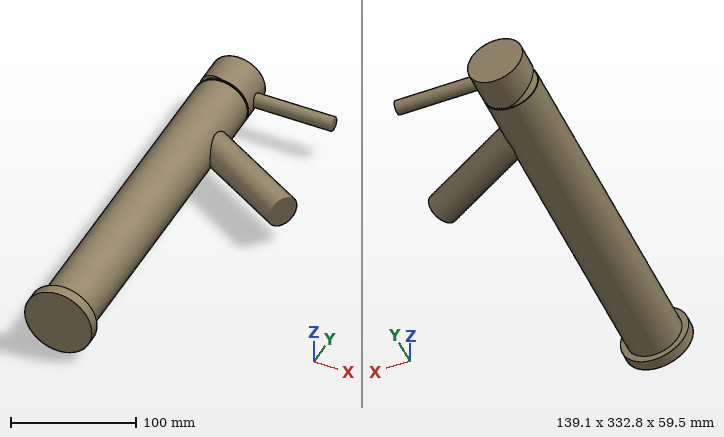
import cadquery as cq
import math

total_length = 332.8
flange_diameter = 59.5
flange_thickness = 9.5
body_radius = 24.0
body_top = 300.5

head_gap = 1.3
head_relief_rise = 9.0
neck_base_radius = 23.3
neck_top_radius = 20.0
neck_length = 12.0

lever_diameter = 12.3
lever_drop = 16.3
lever_reach = 92.5
lever_rounding = 1.0

spout_radius = 14.0
spout_angle = 30.0
spout_tip_x = 102.5
spout_tip_y = 201.5
spout_rounding = 0.5


def column_cylinder(radius, start, end):
    """Cylinder about the Y axis between two Y positions."""
    return cq.Workplane("XZ", origin=(0, start, 0)).circle(radius).extrude(start - end)


def rod_from_axis(radius, start, direction, length, rounding):
    """Round rod starting on the column axis, with its free end rounded."""
    plane = cq.Plane(origin=start, xDir=(0, 0, 1), normal=direction)
    rod = cq.Workplane(plane).circle(radius).extrude(length)
    return rod.faces(cq.selectors.DirectionMinMaxSelector(cq.Vector(direction), True)).fillet(rounding)


def make_head():
    """Cap whose lower face slopes upward on the side away from the lever."""
    bottom = body_top + head_gap
    profile = [
        (-body_radius, bottom + head_relief_rise),
        (0, bottom),
        (body_radius, bottom),
        (body_radius, total_length),
        (-body_radius, total_length),
    ]
    prism = cq.Workplane("XY").polyline(profile).close().extrude(body_radius, both=True)
    return column_cylinder(body_radius, bottom, total_length).intersect(prism)


def make_neck():
    """Tapered core joining the body to the head."""
    neck_end = body_top + neck_length
    profile = [
        (0, body_top),
        (neck_base_radius, body_top),
        (neck_top_radius, neck_end),
        (0, neck_end),
    ]
    return cq.Workplane("XY").polyline(profile).close().revolve(360, (0, 0, 0), (0, 1, 0))


def make_lever():
    start = (0, total_length - lever_drop, 0)
    return rod_from_axis(lever_diameter / 2, start, (1, 0, 0), lever_reach, lever_rounding)


def make_spout():
    angle = math.radians(spout_angle)
    start = (0, spout_tip_y + spout_tip_x * math.tan(angle), 0)
    direction = (math.cos(angle), -math.sin(angle), 0)
    length = spout_tip_x / math.cos(angle)
    return rod_from_axis(spout_radius, start, direction, length, spout_rounding)


flange = column_cylinder(flange_diameter / 2, 0, flange_thickness)
body = column_cylinder(body_radius, flange_thickness, body_top)

result = flange.union(body).union(make_neck()).union(make_head())
result = result.union(make_lever()).union(make_spout())